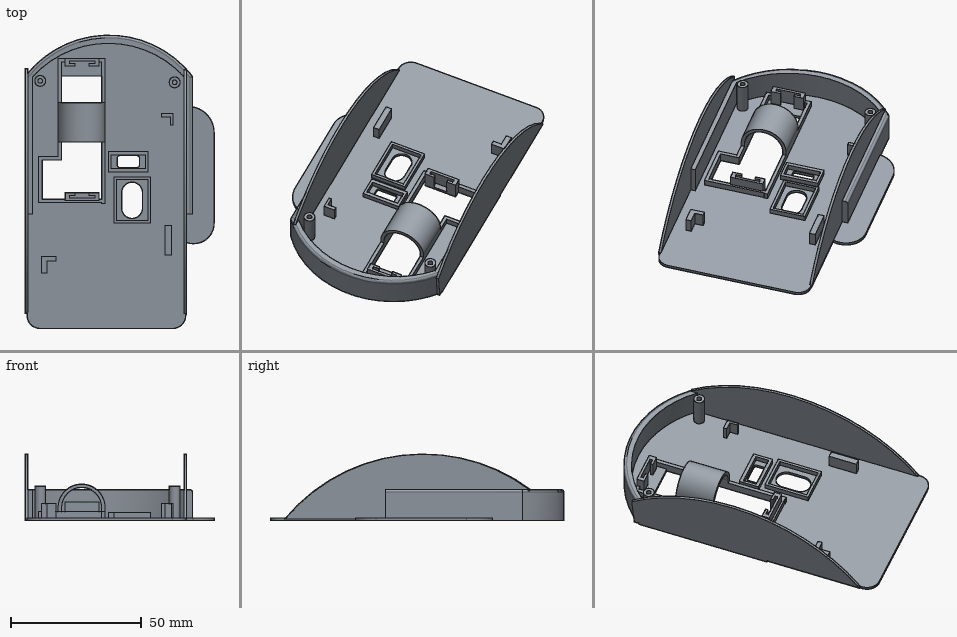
import cadquery as cq

TOTAL_LENGTH = 112.4
TOTAL_WIDTH = 72.4
TOTAL_HEIGHT = 25.5

FLOOR_THICKNESS = 1.1
FLOOR_LEFT = 0.7
FLOOR_RIGHT = 61.5
FLOOR_CORNER_RADIUS = 5.1

TAB_LEFT = 56.4
TAB_FRONT = 32.5
TAB_BACK = 85.1
TAB_FRONT_RADIUS = 7.9
TAB_BACK_RADIUS = 10.0

SHELL_WIDTH = 64.1
SHELL_HEIGHT = 11.9
SHELL_FRONT = 43.9
SHELL_SHOULDER = 96.5
SHELL_INNER_LEFT = 2.8
SHELL_INNER_RIGHT = 60.8
SHELL_INNER_SHOULDER = 96.4
SHELL_INNER_BACK = 109.2
SHELL_RIM_FILLET = 1.0

PANEL_THICKNESS = 1.0
RIGHT_PANEL_X = 60.8
RIGHT_PANEL_SHIFT = -0.5
PANEL_BOTTOM = 0.6
PANEL_FRONT = 5.8
PANEL_PEAK = 58.4
PANEL_BACK_BOTTOM = 98.6
PANEL_BACK_TOP = 99.6
PANEL_BACK_HEIGHT = 11.9

FRAME_WALL = 1.3
FRAME_HEIGHT = 3.5
FRAME_LEFT = 5.2
FRAME_STEP_X = 12.6
FRAME_RIGHT = 30.6
FRAME_FRONT = 48.2
FRAME_STEP_Y = 65.9
FRAME_BACK = 103.5
RIGHT_RAIL_FRONT = 48.0
WINDOW_BACK = 96.6
ARCH_FRONT = 71.4
ARCH_BACK = 86.5
ARCH_HEIGHT = 14.0

CLIP_LEFT = 15.3
CLIP_WIDTH = 13.0
CLIP_DEPTH = 3.0
CLIP_HEIGHT = 7.2
CLIP_WALL = 1.0
CLIP_SLOT_WIDTH = 9.7
CLIP_MOUTH_WIDTH = 5.4
FRONT_CLIP_Y = 49.0

RIM_HEIGHT = 3.1
RIM_WALL = 1.0

SWITCH_RIM = (31.9, 47.0, 60.0, 67.9)
SWITCH_OPENING = (35.3, 43.7, 61.7, 66.2)
SWITCH_END_WALL = 1.3
SWITCH_CORNER_RADIUS = 0.9
SENSOR_RIM = (33.9, 48.0, 40.3, 58.1)
SENSOR_OPENING_CENTER = (40.9, 49.1)
SENSOR_OPENING_LENGTH = 13.8
SENSOR_OPENING_WIDTH = 7.9

BLOCK_HEIGHT = 6.5
LOCATING_BLOCKS = [
    (52.3, 56.6, 81.0, 82.4),
    (55.6, 56.6, 77.9, 82.4),
    (53.6, 56.0, 28.2, 39.5),
    (6.2, 11.7, 25.8, 27.5),
    (6.2, 8.3, 21.4, 27.5),
]

POST_DIAMETER = 4.2
POST_BORE = 1.8
POST_HEIGHT = 13.3
POST_CENTERS = [(5.7, 94.8), (57.2, 94.3)]


def box(left, right, front, back, bottom, top):
    """Box given by its limits along each axis."""
    size = (right - left, back - front, top - bottom)
    return cq.Workplane("XY").box(*size, centered=False).translate((left, front, bottom))


def floor_plate():
    plate = box(FLOOR_LEFT, FLOOR_RIGHT, 0, SHELL_SHOULDER, 0, FLOOR_THICKNESS)
    return plate.edges("|Z and <Y").fillet(FLOOR_CORNER_RADIUS)


def thumb_tab():
    tab = box(TAB_LEFT, TOTAL_WIDTH, TAB_FRONT, TAB_BACK, 0, FLOOR_THICKNESS)
    tab = tab.edges("|Z and <Y").fillet(TAB_FRONT_RADIUS)
    return tab.edges("|Z and >X and >Y").fillet(TAB_BACK_RADIUS)


def arched_outline(left, right, shoulder, back, height):
    """Block from the shell front to a back edge bowed between two shoulders."""
    return (
        cq.Workplane("XY")
        .moveTo(left, SHELL_FRONT)
        .lineTo(right, SHELL_FRONT)
        .lineTo(right, shoulder)
        .threePointArc(((left + right) / 2, back), (left, shoulder))
        .close()
        .extrude(height)
    )


def shell():
    outer = arched_outline(0, SHELL_WIDTH, SHELL_SHOULDER, TOTAL_LENGTH, SHELL_HEIGHT)
    inner = arched_outline(
        SHELL_INNER_LEFT, SHELL_INNER_RIGHT, SHELL_INNER_SHOULDER, SHELL_INNER_BACK, SHELL_HEIGHT
    )
    outer = outer.faces(">Z").edges(">X or >Y").fillet(SHELL_RIM_FILLET)
    return outer.cut(inner.translate((0, 0, FLOOR_THICKNESS)))


def side_panel():
    return (
        cq.Workplane("YZ")
        .moveTo(PANEL_FRONT, PANEL_BOTTOM)
        .lineTo(PANEL_BACK_BOTTOM, PANEL_BOTTOM)
        .lineTo(PANEL_BACK_TOP, PANEL_BACK_HEIGHT)
        .threePointArc((PANEL_PEAK, TOTAL_HEIGHT), (PANEL_FRONT, PANEL_BOTTOM))
        .close()
        .extrude(PANEL_THICKNESS)
    )


def stepped_block(inset, top):
    """Window outline, moved inward by the inset: a wide front part and a narrow back part."""
    right = FRAME_RIGHT - inset
    front = FRAME_FRONT + inset
    wide = box(FRAME_LEFT + inset, right, front, FRAME_STEP_Y - inset, 0, top)
    narrow = box(FRAME_STEP_X + inset, right, front, FRAME_BACK - inset, 0, top)
    return wide.union(narrow)


def window_opening():
    ledge = box(FRAME_STEP_X, FRAME_RIGHT, WINDOW_BACK, FRAME_BACK, 0, FLOOR_THICKNESS)
    return stepped_block(FRAME_WALL, FRAME_HEIGHT).cut(ledge)


def arch_profile(radius, axis_height):
    center = (FRAME_STEP_X + FRAME_RIGHT) / 2
    return (
        cq.Workplane("XZ", origin=(center, ARCH_BACK, 0))
        .moveTo(-radius, 0)
        .lineTo(-radius, axis_height)
        .threePointArc((0, axis_height + radius), (radius, axis_height))
        .lineTo(radius, 0)
        .close()
        .extrude(ARCH_BACK - ARCH_FRONT)
    )


def arch():
    radius = (FRAME_RIGHT - FRAME_STEP_X) / 2
    axis_height = ARCH_HEIGHT - radius
    return arch_profile(radius, axis_height).cut(arch_profile(radius - FRAME_WALL, axis_height))


def centered_bar(width, front, back, bottom):
    """Box centered on x = 0 that reaches up to the clip top."""
    return box(-width / 2, width / 2, front, back, bottom, CLIP_HEIGHT)


def clip_body():
    return centered_bar(CLIP_WIDTH, 0, CLIP_DEPTH, 0)


def clip_slot():
    """T-shaped slot of a clip whose closed side is at y = 0 and whose mouth faces +Y."""
    slot_back = CLIP_DEPTH - CLIP_WALL
    slot = centered_bar(CLIP_SLOT_WIDTH, CLIP_WALL, slot_back, FLOOR_THICKNESS)
    return slot.union(centered_bar(CLIP_MOUTH_WIDTH, slot_back, CLIP_DEPTH, FLOOR_THICKNESS))


def rim(left, right, front, back, end_wall):
    outer = box(left, right, front, back, 0, RIM_HEIGHT)
    inner = box(
        left + RIM_WALL, right - RIM_WALL, front + end_wall, back - end_wall, FLOOR_THICKNESS, RIM_HEIGHT
    )
    return outer.cut(inner)


def rounded_opening(left, right, front, back, radius):
    return box(left, right, front, back, 0, FLOOR_THICKNESS).edges("|Z").fillet(radius)


def sensor_opening():
    return (
        cq.Workplane("XY")
        .center(*SENSOR_OPENING_CENTER)
        .slot2D(SENSOR_OPENING_LENGTH, SENSOR_OPENING_WIDTH, 90)
        .extrude(FLOOR_THICKNESS)
    )


def post(center):
    column = cq.Workplane("XY").circle(POST_DIAMETER / 2).extrude(POST_HEIGHT)
    bore = cq.Workplane("XY", origin=(0, 0, FLOOR_THICKNESS)).circle(POST_BORE / 2).extrude(POST_HEIGHT)
    return column.cut(bore).translate((*center, 0))


body = floor_plate().union(thumb_tab()).union(shell())
body = body.union(side_panel())
body = body.union(side_panel().translate((RIGHT_PANEL_X, RIGHT_PANEL_SHIFT, 0)))

body = body.union(stepped_block(0, FRAME_HEIGHT)).cut(window_opening()).union(arch())
right_rail = box(FRAME_RIGHT - FRAME_WALL, FRAME_RIGHT, RIGHT_RAIL_FRONT, ARCH_FRONT, 0, FRAME_HEIGHT)
body = body.union(right_rail)
clip_center = CLIP_LEFT + CLIP_WIDTH / 2
front_clip_place = (clip_center, FRONT_CLIP_Y, 0)
back_clip_place = (clip_center, FRAME_BACK, 0)
body = body.union(clip_body().translate(front_clip_place))
body = body.cut(clip_slot().translate(front_clip_place))
body = body.union(clip_body().mirror("XZ").translate(back_clip_place))
body = body.cut(clip_slot().mirror("XZ").translate(back_clip_place))

body = body.union(rim(*SWITCH_RIM, SWITCH_END_WALL))
body = body.cut(rounded_opening(*SWITCH_OPENING, SWITCH_CORNER_RADIUS))
body = body.union(rim(*SENSOR_RIM, RIM_WALL))
body = body.cut(sensor_opening())

for block_limits in LOCATING_BLOCKS:
    body = body.union(box(*block_limits, 0, BLOCK_HEIGHT))
for post_center in POST_CENTERS:
    body = body.union(post(post_center))

result = body